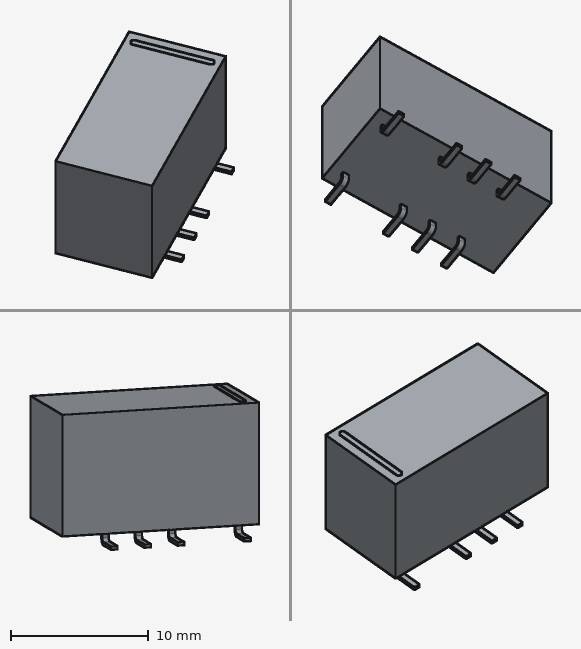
import cadquery as cq

body_width = 7.5
body_length = 15.0
body_height = 9.0
standoff = 1.0
body_top = standoff + body_height

lead_span = 9.5
lead_thickness = 0.25
lead_width = 0.5
lead_row_spacing = 5.08
lead_pitch = 2.54
bend_inner_radius = 0.25
bend_outer_radius = bend_inner_radius + lead_thickness
first_lead_y = 6.31
lead_pitch_steps = (0, 2, 3, 4)

bar_height = 0.05
bar_length = 6.5
bar_width = 0.5
bar_edge_distance = 1.0


def make_body():
    return (
        cq.Workplane("XY")
        .workplane(offset=standoff)
        .rect(body_width, body_length)
        .extrude(body_height)
    )


def make_bar():
    return (
        cq.Workplane("XY")
        .workplane(offset=body_top)
        .center(0, body_length / 2 - bar_edge_distance)
        .slot2D(bar_length, bar_width)
        .extrude(bar_height)
    )


def make_lead(y_center):
    """Lead on the +X side: down from the housing, then outward along Z = 0."""
    inner_x = lead_row_spacing / 2 - lead_thickness / 2
    outer_x = inner_x + lead_thickness
    tip_x = lead_span / 2
    return (
        cq.Workplane("XZ", origin=(0, y_center + lead_width / 2, 0))
        .moveTo(inner_x, standoff)
        .lineTo(inner_x, bend_outer_radius)
        .radiusArc((inner_x + bend_outer_radius, 0), -bend_outer_radius)
        .lineTo(tip_x, 0)
        .lineTo(tip_x, lead_thickness)
        .lineTo(outer_x + bend_inner_radius, lead_thickness)
        .radiusArc((outer_x, bend_outer_radius), bend_inner_radius)
        .lineTo(outer_x, standoff)
        .close()
        .extrude(lead_width)
    )


result = make_body().union(make_bar())
for step in lead_pitch_steps:
    lead = make_lead(first_lead_y - step * lead_pitch)
    result = result.union(lead).union(lead.mirror("YZ"))